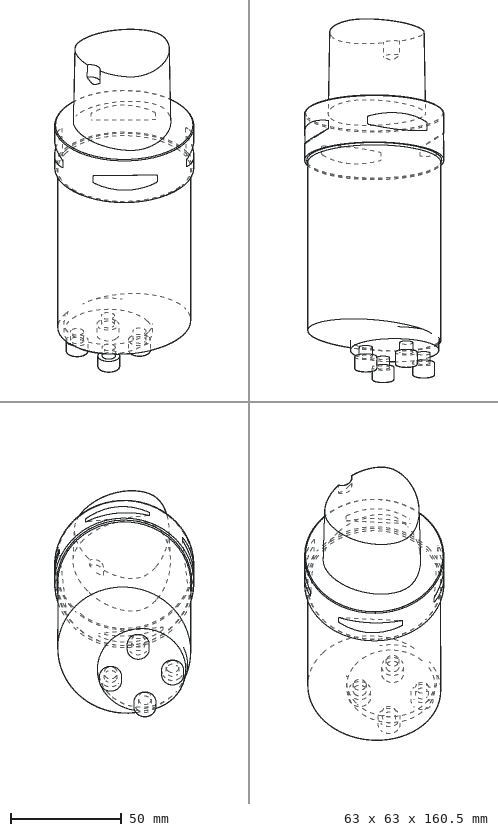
import cadquery as cq
import math

TOTAL_HEIGHT = 160.5
SHANK_LENGTH = 38.0
COLLAR_HEIGHT = 22.2
HEAD_HEIGHT = 6.0
PAD_BOTTOM = 10.5
PAD_TOP = 15.5
CONE_TOP = 20.9
COLLAR_TOP = TOTAL_HEIGHT - SHANK_LENGTH
COLLAR_BOTTOM = COLLAR_TOP - COLLAR_HEIGHT

COLLAR_RADIUS = 63.0 / 2
BODY_RADIUS = 60.0 / 2
COLLAR_CHAMFER = 0.5
NECK_FLARE_HEIGHT = 1.0
NECK_FLARE_WIDTH = 0.5

PAD_RADIUS = 40.0 / 2
PAD_X = PAD_RADIUS - BODY_RADIUS
PAD_BLEND_RADIUS = 1.1
SCREW_SPACING = 19.9
HEAD_RADIUS = 10.0 / 2
HEAD_ROUNDING = 0.6
STEM_RADIUS = 6.0 / 2

LOBE_RADIUS_BASE = 22.0
LOBE_RADIUS_TOP = 21.4
LOBE_ECCENTRICITY = 1.3
FLANK_HALF_ANGLE = 24.5
SPLINE_STEPS = 8

KEYWAY_RADIUS = 4.5
KEYWAY_DEPTH = 6.5
KEYWAY_AXIS_Y = -22.0
KEYWAY_TIP_ANGLE = 112.0

GROOVE_Z = 110.6
GROOVE_FLOOR_DISTANCE = 28.0
GROOVE_FLOOR_HEIGHT = 3.7
GROOVE_SIDE_ANGLE = 30.0
GROOVE_CORNER_RADIUS = 0.6
GROOVE_COUNT = 4
GROOVE_START_ANGLE = 45.0


def lobe_point(mean_radius, angle_deg):
    """Point of the lobed outline whose outward normal points at angle_deg.

    The outline is set by how far its tangent lines lie from the axis:
    the mean radius, plus a wave that peaks at the three lobes.
    """
    angle = math.radians(angle_deg)
    reach = mean_radius - LOBE_ECCENTRICITY * math.sin(3 * angle)
    slope = -3 * LOBE_ECCENTRICITY * math.cos(3 * angle)
    x = reach * math.cos(angle) - slope * math.sin(angle)
    y = reach * math.sin(angle) + slope * math.cos(angle)
    return x, y


def lobe_wire(mean_radius, z):
    """Closed lobed outline: three shallow flanks joined by three rounded lobes."""
    outline = cq.Workplane("XY").workplane(offset=z)
    outline = outline.moveTo(*lobe_point(mean_radius, -90 - FLANK_HALF_ANGLE))
    for flank_centre in (-90, 30, 150):
        flank_start = flank_centre - FLANK_HALF_ANGLE
        flank_end = flank_centre + FLANK_HALF_ANGLE
        lobe_end = flank_start + 120
        for start, end in ((flank_start, flank_end), (flank_end, lobe_end)):
            step = (end - start) / SPLINE_STEPS
            points = [lobe_point(mean_radius, start + step * i) for i in range(1, SPLINE_STEPS + 1)]
            outline = outline.spline(points, includeCurrent=True)
    return outline.close().val()


def make_shank():
    base = lobe_wire(LOBE_RADIUS_BASE, COLLAR_TOP)
    top = lobe_wire(LOBE_RADIUS_TOP, TOTAL_HEIGHT)
    return cq.Workplane(cq.Solid.makeLoft([base, top], True))


def make_keyway():
    """Drill shape with a conical tip, its axis lying just outside the shank."""
    shoulder_z = TOTAL_HEIGHT - KEYWAY_DEPTH
    tip_z = shoulder_z - KEYWAY_RADIUS / math.tan(math.radians(KEYWAY_TIP_ANGLE / 2))
    return (
        cq.Workplane("XZ")
        .moveTo(0, tip_z)
        .lineTo(KEYWAY_RADIUS, shoulder_z)
        .lineTo(KEYWAY_RADIUS, TOTAL_HEIGHT)
        .lineTo(0, TOTAL_HEIGHT)
        .close()
        .revolve(360, (0, 0, 0), (0, 1, 0))
        .translate((0, KEYWAY_AXIS_Y, 0))
    )


def make_collar():
    """Collar disc with a chamfered top rim and a short flare leading into the body."""
    return (
        cq.Workplane("XZ")
        .moveTo(0, COLLAR_TOP)
        .lineTo(COLLAR_RADIUS - COLLAR_CHAMFER, COLLAR_TOP)
        .lineTo(COLLAR_RADIUS, COLLAR_TOP - COLLAR_CHAMFER)
        .lineTo(COLLAR_RADIUS, COLLAR_BOTTOM)
        .lineTo(BODY_RADIUS + NECK_FLARE_WIDTH, COLLAR_BOTTOM)
        .lineTo(BODY_RADIUS, COLLAR_BOTTOM - NECK_FLARE_HEIGHT)
        .lineTo(0, COLLAR_BOTTOM - NECK_FLARE_HEIGHT)
        .close()
        .revolve(360, (0, 0, 0), (0, 1, 0))
    )


def make_groove():
    """Groove cutter on the +X side: flat floor, sides opening outwards, rounded corners."""
    half_floor = GROOVE_FLOOR_HEIGHT / 2
    depth = COLLAR_RADIUS - GROOVE_FLOOR_DISTANCE
    half_mouth = half_floor + depth * math.tan(math.radians(GROOVE_SIDE_ANGLE))
    return (
        cq.Workplane("XZ")
        .moveTo(GROOVE_FLOOR_DISTANCE, GROOVE_Z - half_floor)
        .lineTo(COLLAR_RADIUS, GROOVE_Z - half_mouth)
        .lineTo(COLLAR_RADIUS, GROOVE_Z + half_mouth)
        .lineTo(GROOVE_FLOOR_DISTANCE, GROOVE_Z + half_floor)
        .close()
        .extrude(COLLAR_RADIUS, both=True)
        .edges("|Y and <X")
        .fillet(GROOVE_CORNER_RADIUS)
    )


def make_body():
    """Cylinder whose lower end is trimmed by a cone centred on the pad."""
    cone_radius = BODY_RADIUS - PAD_X
    cylinder = (
        cq.Workplane("XY")
        .workplane(offset=PAD_BOTTOM)
        .circle(BODY_RADIUS)
        .extrude(COLLAR_BOTTOM - PAD_BOTTOM)
    )
    cone_slope = math.atan2(CONE_TOP - PAD_TOP, cone_radius - PAD_RADIUS)
    blend_run = PAD_BLEND_RADIUS * math.tan((math.pi / 2 - cone_slope) / 2)
    blend_end = (
        PAD_RADIUS + blend_run * math.cos(cone_slope),
        PAD_TOP + blend_run * math.sin(cone_slope),
    )
    envelope = (
        cq.Workplane("XZ")
        .moveTo(0, PAD_BOTTOM)
        .lineTo(PAD_RADIUS, PAD_BOTTOM)
        .lineTo(PAD_RADIUS, PAD_TOP - blend_run)
        .tangentArcPoint(blend_end, relative=False)
        .lineTo(cone_radius, CONE_TOP)
        .lineTo(cone_radius, COLLAR_BOTTOM)
        .lineTo(0, COLLAR_BOTTOM)
        .close()
        .revolve(360, (0, 0, 0), (0, 1, 0))
        .translate((PAD_X, 0, 0))
    )
    return cylinder.intersect(envelope)


def make_screw():
    head = cq.Workplane("XY").circle(HEAD_RADIUS).extrude(HEAD_HEIGHT)
    head = head.faces("<Z").edges().fillet(HEAD_ROUNDING)
    stem = cq.Workplane("XY").circle(STEM_RADIUS).extrude(PAD_TOP)
    return head.union(stem)


result = make_body().union(make_collar()).union(make_shank().cut(make_keyway()))

groove = make_groove()
for index in range(GROOVE_COUNT):
    turn = GROOVE_START_ANGLE + index * 360 / GROOVE_COUNT
    result = result.cut(groove.rotate((0, 0, 0), (0, 0, 1), turn))

screw = make_screw()
for side_x in (-1, 1):
    for side_y in (-1, 1):
        place = (PAD_X + side_x * SCREW_SPACING / 2, side_y * SCREW_SPACING / 2, 0)
        result = result.union(screw.translate(place))